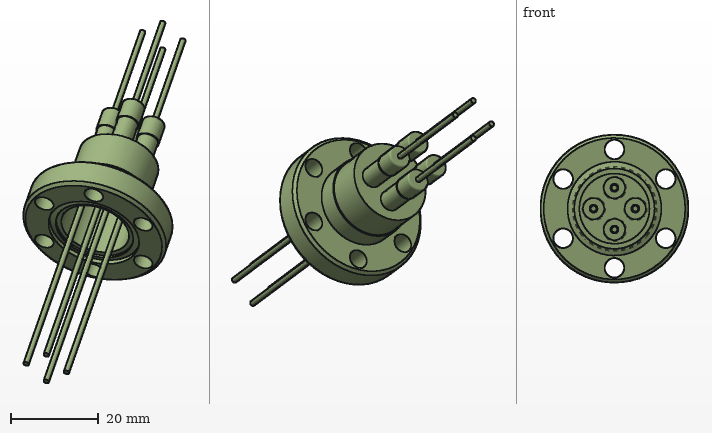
import cadquery as cq
import math


FLANGE_DIAMETER = 33.78
FLANGE_THICKNESS = 7.24
FLANGE_CHAMFER = 0.75
BOLT_COUNT = 6
BOLT_CIRCLE_DIAMETER = 27.0
BOLT_HOLE_DIAMETER = 4.4

RECESS_DIAMETER = 21.4
RECESS_DEPTH = 1.2
KNIFE_DIAMETER = 18.3
KNIFE_TIP_DEPTH = 0.6
KNIFE_SLOPE_DEPTH = 0.56

COLLAR_DIAMETER = 19.3
COLLAR_END = 12.6
BODY_DIAMETER = 18.8
BODY_END = 21.8
BORE_DIAMETER = 16.0
END_WALL = 1.6
BORE_DEPTH = BODY_END - END_WALL

PIN_COUNT = 4
PIN_CIRCLE_DIAMETER = 9.52
PIN_DIAMETER = 1.3
PIN_LENGTH = 101.6
PIN_FRONT = -41.4
PIN_HOLE_DIAMETER = 1.8
TUBE_DIAMETER = 4.85
TUBE_PROJECTION = 0.3
TUBE_FRONT = BORE_DEPTH - TUBE_PROJECTION
CAP_DIAMETER = 5.3
CAP_START = 29.4
CAP_END = 34.8
CAP_FILLET = 0.4


def cylinder(diameter, start, end, center=(0, 0)):
    """A cylinder along Y from start to end, centred at the given X and Z."""
    x, z = center
    circle = cq.Workplane("XZ", origin=(x, start, z)).circle(diameter / 2)
    return circle.extrude(start - end)


def points_on_circle(count, circle_diameter):
    """X and Z of points evenly spaced on a circle, the first on the +Z axis."""
    radius = circle_diameter / 2
    angles = [2 * math.pi * index / count for index in range(count)]
    return [(radius * math.sin(angle), radius * math.cos(angle)) for angle in angles]


def make_flange():
    flange = cylinder(FLANGE_DIAMETER, 0, FLANGE_THICKNESS).edges().chamfer(FLANGE_CHAMFER)
    for center in points_on_circle(BOLT_COUNT, BOLT_CIRCLE_DIAMETER):
        flange = flange.cut(cylinder(BOLT_HOLE_DIAMETER, 0, FLANGE_THICKNESS, center))
    return flange


def make_seal_recess():
    """The front recess, whose floor slopes up inwards to the knife edge."""
    profile = [
        (0, 0),
        (RECESS_DIAMETER / 2, 0),
        (RECESS_DIAMETER / 2, KNIFE_TIP_DEPTH + KNIFE_SLOPE_DEPTH),
        (KNIFE_DIAMETER / 2, KNIFE_TIP_DEPTH),
        (KNIFE_DIAMETER / 2, RECESS_DEPTH),
        (0, RECESS_DEPTH),
    ]
    return cq.Workplane("XY").polyline(profile).close().revolve(360, (0, 0, 0), (0, 1, 0))


def make_shell():
    """The flange and stepped body, bored from the front up to a thin end wall."""
    collar = cylinder(COLLAR_DIAMETER, FLANGE_THICKNESS, COLLAR_END)
    body = cylinder(BODY_DIAMETER, FLANGE_THICKNESS, BODY_END)
    bore = cylinder(BORE_DIAMETER, 0, BORE_DEPTH)
    shell = make_flange().union(collar).union(body)
    return shell.cut(make_seal_recess()).cut(bore)


def add_feedthrough(shell, center):
    """Adds a tube through the end wall, with a wider rounded cap and a pin fixed in the cap.

    Between the front of the tube and the cap, the pin stands clear in its hole.
    """
    tube = cylinder(TUBE_DIAMETER, TUBE_FRONT, CAP_START, center)
    cap = cylinder(CAP_DIAMETER, CAP_START, CAP_END, center).faces(">Y").edges().fillet(CAP_FILLET)
    pin_hole = cylinder(PIN_HOLE_DIAMETER, TUBE_FRONT, CAP_START, center)
    pin = cylinder(PIN_DIAMETER, PIN_FRONT, PIN_FRONT + PIN_LENGTH, center)
    return shell.union(tube).union(cap).cut(pin_hole).union(pin)


result = make_shell()
for pin_center in points_on_circle(PIN_COUNT, PIN_CIRCLE_DIAMETER):
    result = add_feedthrough(result, pin_center)